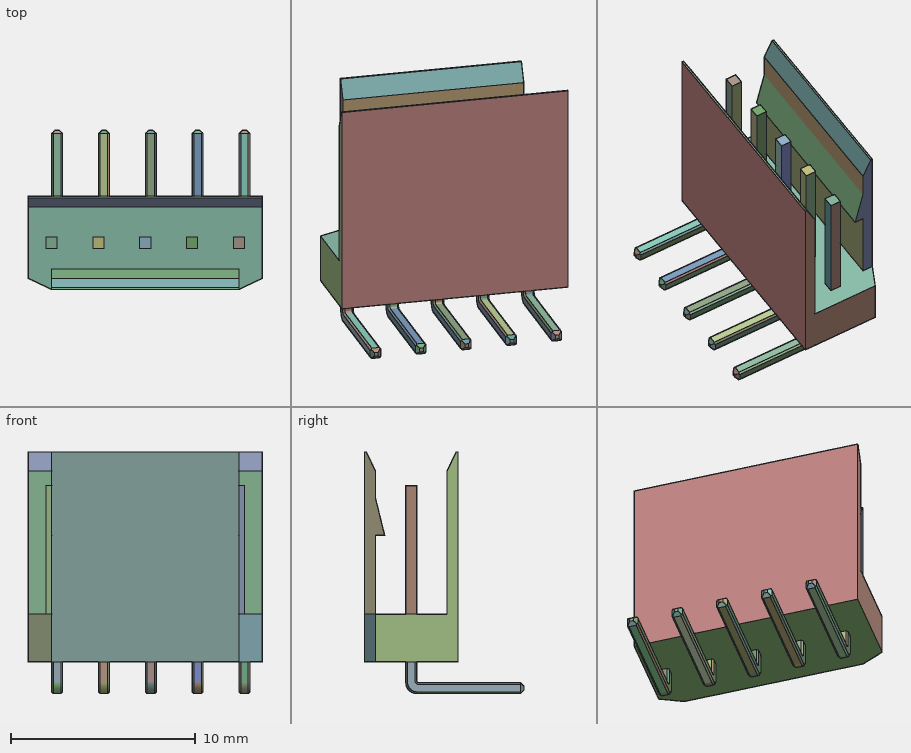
import cadquery as cq

pin_count = 5
total_depth = 8.65
total_height = 13.1
body_length = 12.7
body_depth = 5.07
body_height = 11.38
wall_thickness = 0.6
floor_height = 2.6

wall_tip_thickness = 0.1
wall_taper_height = 1.03

latch_depth = 0.5
latch_height = 2.0
latch_bottom = 6.86

pin_size = 0.6
pin_top = 9.56
tail_drop = total_height - body_height
tail_inner_radius = 0.1
tail_edge_chamfer = 0.1
tail_tip_chamfer = 0.2

pin_pitch = body_length / pin_count
front_wall_length = (pin_count - 1) * pin_pitch
front_inner_y = wall_thickness
pin_front_y = (body_depth - pin_size) / 2
pin_rear_y = pin_front_y + pin_size
pin_centers = [(i - (pin_count - 1) / 2) * pin_pitch for i in range(pin_count)]


def side_prism(points, x_start, length):
    """Extrude a closed (Y, Z) outline along +X from x_start."""
    return cq.Workplane("YZ", origin=(x_start, 0, 0)).polyline(points).close().extrude(length)


def make_floor():
    """Solid base block with its two front corners cut off slantwise."""
    outline = [
        (-front_wall_length / 2, 0),
        (front_wall_length / 2, 0),
        (body_length / 2, front_inner_y),
        (body_length / 2, body_depth),
        (-body_length / 2, body_depth),
        (-body_length / 2, front_inner_y),
    ]
    return cq.Workplane("XY").polyline(outline).close().extrude(floor_height)


def make_wall(outer_y, inward, length):
    """Upright wall whose inner face slopes back to a thin top edge; inward is +1 or -1 along Y."""
    inner_y = outer_y + inward * wall_thickness
    outline = [
        (outer_y, 0),
        (inner_y, 0),
        (inner_y, body_height - wall_taper_height),
        (outer_y + inward * wall_tip_thickness, body_height),
        (outer_y, body_height),
    ]
    return side_prism(outline, -length / 2, length)


def make_latch():
    """Wedge with a flat underside, running along the whole front wall."""
    outline = [
        (front_inner_y, latch_bottom),
        (front_inner_y + latch_depth, latch_bottom),
        (front_inner_y, latch_bottom + latch_height),
    ]
    return side_prism(outline, -front_wall_length / 2, front_wall_length)


def make_contact(center_x):
    """Straight square pin from the body bottom up into the open housing."""
    return cq.Workplane("XY").center(center_x, body_depth / 2).rect(pin_size, pin_size).extrude(pin_top)


def make_tip_waste(center_x):
    """Material around the 45 degree pyramid that points the end of a tail."""
    origin = (center_x, total_depth - tail_tip_chamfer, pin_size / 2 - tail_drop)
    tip_base = cq.Plane(origin=origin, xDir=(1, 0, 0), normal=(0, 1, 0))
    tip_block = cq.Workplane(tip_base).rect(pin_size, pin_size).extrude(tail_tip_chamfer)
    pyramid = cq.Workplane(tip_base).rect(pin_size, pin_size).extrude(tail_tip_chamfer, taper=45)
    return tip_block.cut(pyramid)


def make_tail(start_x):
    """Tail that drops out of the body, bends to the rear and ends in a blunt point."""
    outline = [
        (pin_front_y, 0),
        (pin_front_y, -tail_drop),
        (total_depth, -tail_drop),
        (total_depth, pin_size - tail_drop),
        (pin_rear_y, pin_size - tail_drop),
        (pin_rear_y, 0),
    ]
    tail = side_prism(outline, start_x, pin_size)
    center_x = start_x + pin_size / 2
    outer_corner = cq.selectors.NearestToPointSelector((center_x, pin_front_y, -tail_drop))
    inner_corner = cq.selectors.NearestToPointSelector((center_x, pin_rear_y, pin_size - tail_drop))
    tail = tail.edges("|X").edges(outer_corner).fillet(pin_size)
    tail = tail.edges("|X").edges(inner_corner).fillet(tail_inner_radius)
    long_edges = tail.faces("<X or >X").edges("not(>Y or >Z)")
    tail = long_edges.chamfer(tail_edge_chamfer)
    return tail.cut(make_tip_waste(center_x))


result = make_floor()
result = result.union(make_wall(0, 1, front_wall_length))
result = result.union(make_wall(body_depth, -1, body_length))
result = result.union(make_latch())
for center in pin_centers:
    result = result.union(make_contact(center))
    result = result.union(make_tail(center))